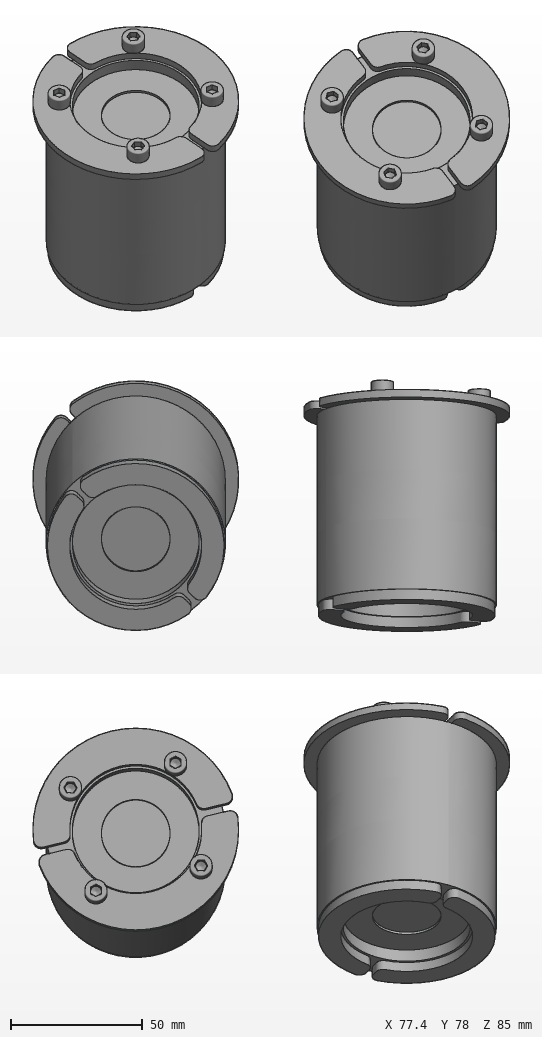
import cadquery as cq
import math

bottom_plate_thickness = 4.0
end_section_height = 27.0
middle_section_height = 18.95
top_plate_thickness = 3.0
total_height = 85.0

section_heights = [end_section_height, middle_section_height, end_section_height]
body_bottom = bottom_plate_thickness
body_top = body_bottom + sum(section_heights)
plate_top = body_top + top_plate_thickness

body_radius = 34.0
bore_radius = 24.05
core_radius = 13.0
layer_count = 10
layer_thickness = (bore_radius - core_radius) / layer_count
bore_recess = 5.0
core_recess = 1.0

top_plate_radius = 39.0
bottom_plate_radius = 33.5
plate_hole_radius = 25.0
plate_gap = 3.0
plate_corner_radius = 3.0

screw_circle_radius = 29.0
screw_angles = [45, 135, 225, 315]
head_diameter = 8.5
head_height = total_height - plate_top
head_edge_radius = 0.4
socket_across_flats = 4.2
socket_depth = 2.5
socket_cone_angle = 120.0


def half_ring(inner_radius, outer_radius, bottom, height):
    """Half of a ring, on the +Y side of the XZ plane."""
    return (
        cq.Workplane("XY", origin=(0, 0, bottom))
        .moveTo(inner_radius, 0)
        .lineTo(outer_radius, 0)
        .threePointArc((0, outer_radius), (-outer_radius, 0))
        .lineTo(-inner_radius, 0)
        .threePointArc((0, inner_radius), (inner_radius, 0))
        .close()
        .extrude(height)
    )


def fuse(solids):
    """Join touching solids and keep the joint lines between them on the surface."""
    joined = solids[0]
    for solid in solids[1:]:
        joined = joined.union(solid, clean=False)
    return joined


def half_module():
    """One half of the sleeve: stacked outer sections around nested layers."""
    pieces = []
    section_bottom = body_bottom
    for height in section_heights:
        pieces.append(half_ring(bore_radius, body_radius, section_bottom, height))
        section_bottom += height
    layer_bottom = body_bottom + bore_recess
    layer_height = body_top - body_bottom - 2 * bore_recess
    for index in range(layer_count):
        inner_radius = core_radius + index * layer_thickness
        outer_radius = inner_radius + layer_thickness
        pieces.append(half_ring(inner_radius, outer_radius, layer_bottom, layer_height))
    return fuse(pieces)


def core():
    """Solid plug in the middle of the layers, set back from them at both ends."""
    recess = bore_recess + core_recess
    height = body_top - body_bottom - 2 * recess
    return cq.Workplane("XY", origin=(0, 0, body_bottom + recess)).circle(core_radius).extrude(height)


def clamping_plate(radius, bottom, thickness):
    """Ring split along X by a gap, with the corners of both halves rounded."""
    ring = (
        cq.Workplane("XY", origin=(0, 0, bottom))
        .circle(radius)
        .circle(plate_hole_radius)
        .extrude(thickness)
    )
    gap = (
        cq.Workplane("XY", origin=(0, 0, bottom))
        .rect(2 * radius, plate_gap)
        .extrude(thickness)
    )
    return ring.cut(gap).edges("|Z").fillet(plate_corner_radius)


def screw_head(angle):
    """Socket head on the top plate, two flats of its hexagon facing the part's axis."""
    head_radius = head_diameter / 2
    head = (
        cq.Workplane("XY", origin=(0, 0, plate_top))
        .circle(head_radius)
        .extrude(head_height)
        .faces(">Z")
        .edges()
        .fillet(head_edge_radius)
    )
    across_corners = socket_across_flats / math.cos(math.pi / 6)
    hexagon = (
        cq.Workplane("XY", origin=(0, 0, total_height))
        .transformed(rotate=(0, 0, 90))
        .polygon(6, across_corners)
        .extrude(-socket_depth)
    )
    cone_radius = socket_across_flats / 2
    cone_depth = cone_radius / math.tan(math.radians(socket_cone_angle / 2))
    cone_base = cq.Vector(0, 0, total_height - socket_depth)
    cone = cq.Workplane(cq.Solid.makeCone(cone_radius, 0, cone_depth, cone_base, cq.Vector(0, 0, -1)))
    return (
        head.cut(hexagon)
        .cut(cone)
        .translate((screw_circle_radius, 0, 0))
        .rotate((0, 0, 0), (0, 0, 1), angle)
    )


module_half = half_module()
top_plate = clamping_plate(top_plate_radius, body_top, top_plate_thickness)
bottom_plate = clamping_plate(bottom_plate_radius, 0, bottom_plate_thickness)
screw_heads = [screw_head(angle) for angle in screw_angles]

result = fuse([module_half, module_half.mirror("XZ"), core(), top_plate, bottom_plate] + screw_heads)